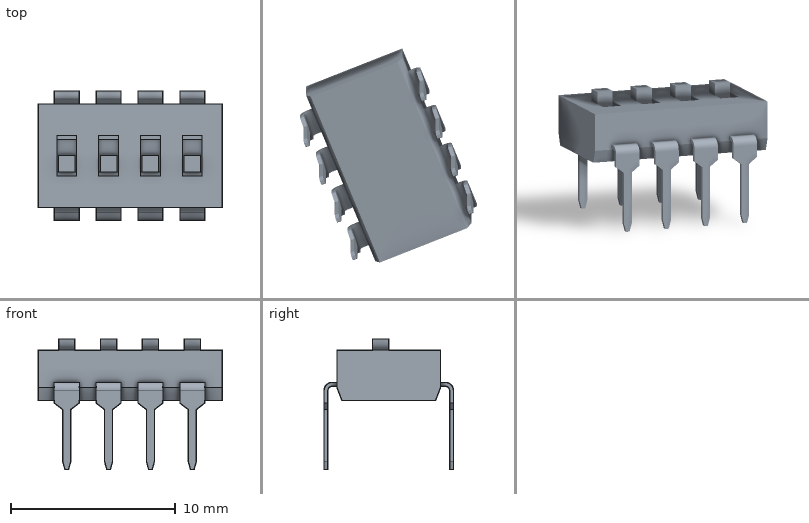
import cadquery as cq


body_length = 11.2
body_width = 6.3
body_height = 3.06
taper_height = 0.8
taper_inset = 0.3

switch_count = 4
pitch = 2.54
row_offset = -0.05

slider_size = 1.0
slider_rise = 0.7
window_width = 1.2
ledge_depth = 0.1
ledge_length = 0.25
window_depth = 0.3
travel_length = 2 * slider_size
window_length = travel_length + 2 * ledge_length

row_span = 7.87
pin_thickness = 0.25
bend_radius = 0.5
pin_drop = 1.95
shoulder_width = 1.52
leg_width = 0.5
tip_width = 0.22
shoulder_end_drop = 3.21
leg_start_drop = 3.61
tip_length = 0.5
total_height = 7.95

pin_top = body_height - pin_drop
pin_bottom = body_height + slider_rise - total_height
switch_positions = [row_offset + (i - (switch_count - 1) / 2) * pitch for i in range(switch_count)]


def make_body():
    """Block whose long sides lean inward near the underside."""
    half_width = body_width / 2
    return (
        cq.Workplane("YZ")
        .moveTo(-half_width, body_height)
        .lineTo(half_width, body_height)
        .lineTo(half_width, taper_height)
        .lineTo(half_width - taper_inset, 0)
        .lineTo(-half_width + taper_inset, 0)
        .lineTo(-half_width, taper_height)
        .close()
        .extrude(body_length / 2, both=True)
    )


def make_window(x):
    """Cutter for one window: a shallow full-length recess and a deeper centre."""
    top = cq.Workplane("XY", origin=(x, 0, body_height))
    recess = top.rect(window_width, window_length).extrude(-ledge_depth)
    centre = top.rect(window_width, travel_length).extrude(-window_depth)
    return recess.union(centre)


def make_slider(x):
    """Square slider standing on the window floor at the -Y end of its travel."""
    floor = body_height - window_depth
    return (
        cq.Workplane("XY", origin=(x, -slider_size / 2, floor))
        .rect(slider_size, slider_size)
        .extrude(window_depth + slider_rise)
    )


def make_front_pin(x):
    """Pin on the -Y side: the bent strip trimmed to the shoulder, leg and tip outline."""
    root = -body_width / 2
    outside = -row_span / 2
    inside = outside + pin_thickness
    bend_y = outside + bend_radius
    bend_z = pin_top - bend_radius
    inner_radius = bend_radius - pin_thickness
    strip = (
        cq.Workplane("YZ", origin=(x, 0, 0))
        .moveTo(root, pin_top)
        .lineTo(bend_y, pin_top)
        .radiusArc((outside, bend_z), -bend_radius)
        .lineTo(outside, pin_bottom)
        .lineTo(inside, pin_bottom)
        .lineTo(inside, bend_z)
        .radiusArc((bend_y, pin_top - pin_thickness), inner_radius)
        .lineTo(root, pin_top - pin_thickness)
        .close()
        .extrude(shoulder_width / 2, both=True)
    )
    right_edge = [
        (shoulder_width / 2, pin_top),
        (shoulder_width / 2, body_height - shoulder_end_drop),
        (leg_width / 2, body_height - leg_start_drop),
        (leg_width / 2, pin_bottom + tip_length),
        (tip_width / 2, pin_bottom),
    ]
    left_edge = [(-across, height) for across, height in reversed(right_edge)]
    outline = (
        cq.Workplane("XZ", origin=(x, 0, 0))
        .polyline(right_edge + left_edge)
        .close()
        .extrude(row_span / 2)
    )
    return strip.intersect(outline)


result = make_body()
for switch_x in switch_positions:
    front_pin = make_front_pin(switch_x)
    result = result.cut(make_window(switch_x)).union(make_slider(switch_x))
    result = result.union(front_pin).union(front_pin.mirror("XZ"))